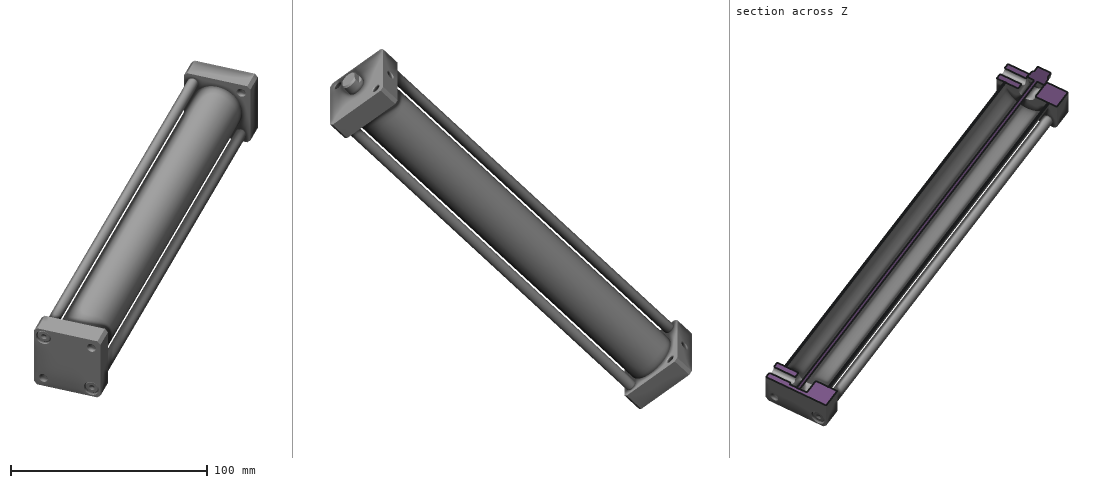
import cadquery as cq
import math

TOTAL_LENGTH = 245.0
CAP_SIDE = 36.0
CAP_LENGTH = 11.3
CAP_CORNER_CHAMFER = 1.7
STEM_PROJECTION = 6.4

FRONT_CAP_INNER = CAP_LENGTH
REAR_CAP_OUTER = TOTAL_LENGTH - STEM_PROJECTION
REAR_CAP_INNER = REAR_CAP_OUTER - CAP_LENGTH

BARREL_DIA = 27.0
BARREL_BORE_DIA = 25.0

CAVITY_DIA = 10.0
CAVITY_WALL = 2.5

OPENING_CORE_DIA = 4.2
OPENING_MOUTH_DIA = 5.0
OPENING_CHAMFER = (OPENING_MOUTH_DIA - OPENING_CORE_DIA) / 2
CORNER_OFFSET = 13.0

ROD_DIA = 6.0
ROD_NECK_DIA = 5.0
ROD_NECK_LENGTH = 0.7
ROD_HEAD_DIA = 7.0
ROD_HEAD_CHAMFER = 0.37
ROD_HEAD_RECESS = 0.7
ROD_CENTRE_MARK_DIA = 3.2
ROD_CENTRE_MARK_ANGLE = 120.0
COUNTERBORE_DIA = 8.0
COUNTERBORE_DEPTH = 5.0
ROD_TAIL_LENGTH = 7.4

STEM_DIA = CAVITY_DIA
STEM_TIP_CHAMFER_LENGTH = 1.0
STEM_TIP_CHAMFER_INSET = 0.7
STEM_ACROSS_FLATS = 8.0
STEM_FLAT_LENGTH = 3.5
CORE_DIA = 2.0

MOUNTING_CORNERS = [(CORNER_OFFSET, CORNER_OFFSET), (-CORNER_OFFSET, -CORNER_OFFSET)]
ROD_CORNERS = [(-CORNER_OFFSET, CORNER_OFFSET), (CORNER_OFFSET, -CORNER_OFFSET)]


def rod_along_y(dia, y_start, y_end, x=0.0, z=0.0):
    """Round bar parallel to Y between two Y positions."""
    return cq.Workplane(cq.Solid.makeCylinder(
        dia / 2, y_end - y_start, cq.Vector(x, y_start, z), cq.Vector(0, 1, 0)))


def cone(dia_start, dia_end, length, start, direction):
    """Cone frustum that begins at a point and runs along a direction."""
    return cq.Workplane(cq.Solid.makeCone(
        dia_start / 2, dia_end / 2, length, cq.Vector(*start), cq.Vector(*direction)))


def mounting_hole(y_start, y_end, x, z):
    """Cutter for a through hole with a chamfer at both mouths."""
    hole = rod_along_y(OPENING_CORE_DIA, y_start, y_end, x, z)
    for y, direction in [(y_start, (0, 1, 0)), (y_end, (0, -1, 0))]:
        hole = hole.union(cone(OPENING_MOUTH_DIA, OPENING_CORE_DIA, OPENING_CHAMFER, (x, y, z), direction))
    return hole


def side_port(y):
    """Cutter for a chamfered port that runs from the -X side to the cap axis."""
    side = -CAP_SIDE / 2
    port = cq.Workplane(cq.Solid.makeCylinder(
        OPENING_CORE_DIA / 2, CAP_SIDE / 2, cq.Vector(side, y, 0), cq.Vector(1, 0, 0)))
    return port.union(cone(OPENING_MOUTH_DIA, OPENING_CORE_DIA, OPENING_CHAMFER, (side, y, 0), (1, 0, 0)))


def cap_block(y_start):
    """Square cap with chamfered corners, two mounting holes and a side port."""
    y_end = y_start + CAP_LENGTH
    block = (
        cq.Workplane("XY")
        .box(CAP_SIDE, CAP_LENGTH, CAP_SIDE)
        .edges("|Y")
        .chamfer(CAP_CORNER_CHAMFER)
        .translate((0, y_start + CAP_LENGTH / 2, 0))
    )
    for x, z in MOUNTING_CORNERS:
        block = block.cut(mounting_hole(y_start, y_end, x, z))
    return block.cut(side_port(y_start + CAP_LENGTH / 2))


def make_front_cap():
    """Front cap: blind cavity from the inside, counterbored tie rod holes."""
    cap = cap_block(0).cut(rod_along_y(CAVITY_DIA, CAVITY_WALL, FRONT_CAP_INNER))
    for x, z in ROD_CORNERS:
        cap = cap.cut(rod_along_y(ROD_NECK_DIA, 0, FRONT_CAP_INNER, x, z))
        cap = cap.cut(rod_along_y(COUNTERBORE_DIA, 0, COUNTERBORE_DEPTH, x, z))
    return cap


def make_rear_cap():
    """Rear cap: bore for the stem right through, blind holes for the tie rod tails."""
    cap = cap_block(REAR_CAP_INNER).cut(rod_along_y(CAVITY_DIA, REAR_CAP_INNER, REAR_CAP_OUTER))
    for x, z in ROD_CORNERS:
        cap = cap.cut(rod_along_y(ROD_NECK_DIA, REAR_CAP_INNER, REAR_CAP_INNER + ROD_TAIL_LENGTH, x, z))
    return cap


def make_barrel():
    """Round tube held between the inner faces of the caps."""
    tube = rod_along_y(BARREL_DIA, FRONT_CAP_INNER, REAR_CAP_INNER)
    return tube.cut(rod_along_y(BARREL_BORE_DIA, FRONT_CAP_INNER, REAR_CAP_INNER))


def make_tie_rod(x, z):
    """Tie rod: head in the counterbore, thinner necks in the caps, thicker shank between them."""
    head = rod_along_y(ROD_HEAD_DIA, ROD_HEAD_RECESS, COUNTERBORE_DEPTH, x, z)
    head = head.faces("<Y").chamfer(ROD_HEAD_CHAMFER)
    neck = rod_along_y(ROD_NECK_DIA, COUNTERBORE_DEPTH, REAR_CAP_INNER + ROD_TAIL_LENGTH, x, z)
    shank = rod_along_y(
        ROD_DIA, FRONT_CAP_INNER + ROD_NECK_LENGTH, REAR_CAP_INNER - ROD_NECK_LENGTH, x, z)
    mark_depth = ROD_CENTRE_MARK_DIA / 2 / math.tan(math.radians(ROD_CENTRE_MARK_ANGLE / 2))
    centre_mark = cone(ROD_CENTRE_MARK_DIA, 0, mark_depth, (x, ROD_HEAD_RECESS, z), (0, 1, 0))
    return head.union(neck).union(shank).cut(centre_mark)


def stem_flat():
    """Cutter for the flat on the +X side of the stem, with a 45 degree run-out."""
    flat_x = STEM_ACROSS_FLATS / 2
    outer_x = STEM_DIA / 2
    flat_end = TOTAL_LENGTH - STEM_FLAT_LENGTH
    return (
        cq.Workplane("XY")
        .polyline([
            (flat_x, TOTAL_LENGTH),
            (flat_x, flat_end),
            (outer_x, flat_end - (outer_x - flat_x)),
            (outer_x, TOTAL_LENGTH),
        ])
        .close()
        .extrude(STEM_DIA / 2, both=True)
    )


def make_stem():
    """Stem plugged into the rear cap, with two flats, and its core down to the front cap."""
    stem_start = REAR_CAP_OUTER - CAVITY_WALL
    tip_start = TOTAL_LENGTH - STEM_TIP_CHAMFER_LENGTH
    tip_dia = STEM_DIA - 2 * STEM_TIP_CHAMFER_INSET
    stem = rod_along_y(STEM_DIA, stem_start, tip_start)
    stem = stem.union(cone(STEM_DIA, tip_dia, STEM_TIP_CHAMFER_LENGTH, (0, tip_start, 0), (0, 1, 0)))
    flat = stem_flat()
    stem = stem.cut(flat).cut(flat.mirror("YZ"))
    return stem.union(rod_along_y(CORE_DIA, CAVITY_WALL, stem_start))


front_cap = make_front_cap()
rear_cap = make_rear_cap()
barrel = make_barrel()
tie_rods = [make_tie_rod(x, z) for x, z in ROD_CORNERS]
stem = make_stem()

result = cq.Compound.makeCompound([
    front_cap.val(),
    rear_cap.val(),
    barrel.val(),
    *[rod.val() for rod in tie_rods],
    stem.val(),
])